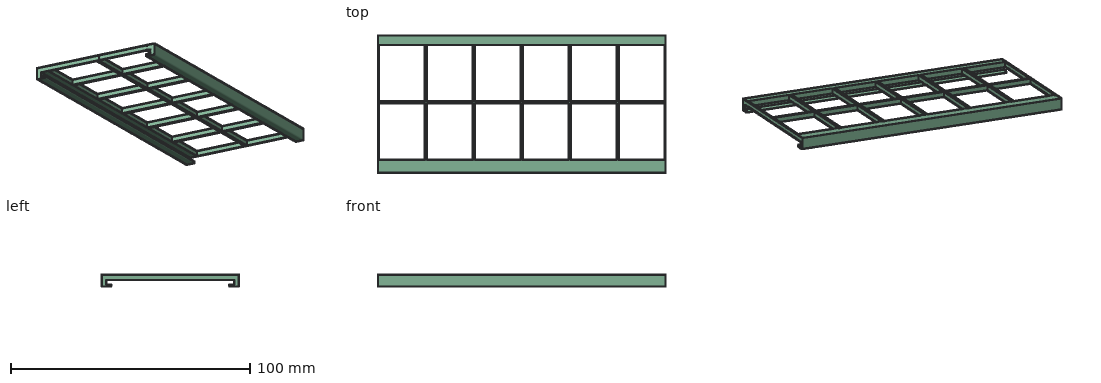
import cadquery as cq

length = 120.2
width = 57.5
height = 5.0

deck_thickness = 2.3
wall_thickness = 2.0
hook_length = 4.1
lip_thickness = 1.0
tip_radius = lip_thickness / 2
outer_radius = 0.5
front_rail_width = 5.5
back_rail_width = 4.0

columns = 6
rows = 2
bar_width = 1.0

front_y = -width / 2
back_y = width / 2
deck_bottom = height - deck_thickness
window_zone_front = front_y + front_rail_width
window_zone_back = back_y - back_rail_width
window_zone_width = window_zone_back - window_zone_front
window_zone_center = (window_zone_front + window_zone_back) / 2
column_pitch = length / columns
row_pitch = (window_zone_width + bar_width) / rows
window_length = column_pitch - bar_width
window_width = row_pitch - bar_width


def make_slab():
    """Solid block of the full envelope, with rounded lower outer edges."""
    block = cq.Workplane("XY").box(length, width, height, centered=(True, True, False))
    return block.edges("|X and <Z").fillet(outer_radius)


def make_channel():
    """Space under the deck between the two walls."""
    channel_width = width - 2 * wall_thickness
    return cq.Workplane("XY").box(length, channel_width, deck_bottom, centered=(True, True, False))


def make_lip(side):
    """Round-tipped lip pointing inward from the foot of the wall on the given side (+1 or -1)."""
    root_y = side * (back_y - wall_thickness)
    tip_y = side * (back_y - hook_length)
    round_start_y = tip_y + side * tip_radius
    return (
        cq.Workplane("YZ")
        .moveTo(root_y, 0)
        .lineTo(round_start_y, 0)
        .threePointArc((tip_y, tip_radius), (round_start_y, lip_thickness))
        .lineTo(root_y, lip_thickness)
        .close()
        .extrude(length / 2, both=True)
    )


def make_windows():
    """Grid of openings through the deck; half a bar remains at each end."""
    return (
        cq.Workplane("XY", origin=(0, window_zone_center, deck_bottom))
        .rarray(column_pitch, row_pitch, columns, rows)
        .rect(window_length, window_width)
        .extrude(deck_thickness)
    )


result = make_slab().cut(make_channel())
for side in (-1, 1):
    result = result.union(make_lip(side))
result = result.cut(make_windows())